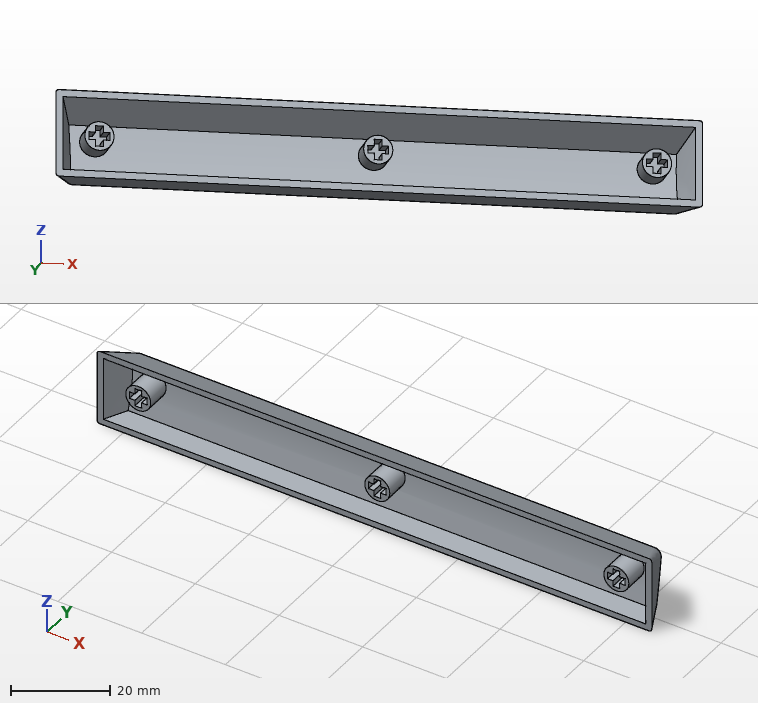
import cadquery as cq
import math


LENGTH = 132.5
HEIGHT = 18.0
RIM_RADIUS = 0.7

CROWN_LENGTH = 126.1
CROWN_HEIGHT = 13.8
CROWN_RADIUS = 1.9
CROWN_LOW_DEPTH = 6.4
CROWN_HIGH_DEPTH = 8.7
CROWN_BULGE = 0.46
OVERRUN = 1.3

WALL = 1.5
CROWN_WALL = 1.6
FLOOR_LENGTH = 124.4
FLOOR_TOP = 12.6

STEM_COUNT = 3
STEM_SPACING = 57.1
STEM_DIAMETER = 6.0
STEM_Z = HEIGHT / 2
STEM_START = 1.0
CROSS_SPAN = 4.2
CROSS_WIDTH = 1.6
CROSS_DEPTH = 3.6


def section(length, bottom, top, radius=0):
    """Rectangle between two (depth, height) edges, each parallel to X."""
    rise = top[1] - bottom[1]
    lean = top[0] - bottom[0]
    outline = cq.Sketch().rect(length, math.hypot(rise, lean))
    if radius:
        outline = outline.vertices().fillet(radius)
    center = cq.Vector(0, (bottom[1] + top[1]) / 2, -(bottom[0] + top[0]) / 2)
    tilt = -math.degrees(math.atan2(lean, rise))
    return outline.moved(cq.Location(center, cq.Vector(1, 0, 0), tilt))


def tapered_block(rim, crown):
    """Straight-sided loft between two sections."""
    return cq.Workplane("XZ").placeSketch(rim, crown).loft(ruled=True)


def under_crown(inset):
    """Everything between the rim plane and the crown surface moved in by inset."""
    low_depth = CROWN_LOW_DEPTH - inset
    high_depth = CROWN_HIGH_DEPTH - inset
    middle = ((low_depth + high_depth) / 2 + CROWN_BULGE, CROWN_HEIGHT / 2)
    return (
        cq.Workplane("YZ")
        .lineTo(low_depth, 0)
        .threePointArc(middle, (high_depth, CROWN_HEIGHT))
        .lineTo(0, HEIGHT)
        .close()
        .extrude(LENGTH / 2, both=True)
    )


def extended(rim_size, crown_size, depth):
    """Size of a straight taper carried past the crown edge."""
    return crown_size + (crown_size - rim_size) * OVERRUN / depth


def make_outer():
    end_height = extended(HEIGHT, CROWN_HEIGHT, CROWN_HIGH_DEPTH)
    end_length = extended(LENGTH, CROWN_LENGTH, CROWN_HIGH_DEPTH)
    block = tapered_block(
        section(LENGTH, (0, 0), (0, HEIGHT), RIM_RADIUS),
        section(
            end_length,
            (CROWN_LOW_DEPTH + OVERRUN, 0),
            (CROWN_HIGH_DEPTH + OVERRUN, end_height),
            CROWN_RADIUS,
        ),
    )
    return block.intersect(under_crown(0))


def make_cavity():
    low_depth = CROWN_LOW_DEPTH - CROWN_WALL
    high_depth = CROWN_HIGH_DEPTH - CROWN_WALL
    rim_length = LENGTH - 2 * WALL
    rim_top = HEIGHT - WALL
    end_top = extended(rim_top, FLOOR_TOP, high_depth)
    end_length = extended(rim_length, FLOOR_LENGTH, high_depth)
    block = tapered_block(
        section(rim_length, (0, WALL), (0, rim_top)),
        section(
            end_length,
            (low_depth + OVERRUN, WALL),
            (high_depth + OVERRUN, end_top),
        ),
    )
    return block.intersect(under_crown(CROWN_WALL))


def make_stem():
    """Round post with a blind cross socket, rooted inside the crown wall."""
    face = cq.Workplane("XZ", origin=(0, STEM_START, STEM_Z))
    post = face.circle(STEM_DIAMETER / 2).extrude(-CROWN_HIGH_DEPTH)
    post = post.intersect(under_crown(CROWN_WALL / 2))
    for width, height in ((CROSS_SPAN, CROSS_WIDTH), (CROSS_WIDTH, CROSS_SPAN)):
        post = post.cut(face.rect(width, height).extrude(-CROSS_DEPTH))
    return post


result = make_outer().cut(make_cavity())
stem = make_stem()
for index in range(STEM_COUNT):
    stem_x = (index - (STEM_COUNT - 1) / 2) * STEM_SPACING
    result = result.union(stem.translate((stem_x, 0, 0)))